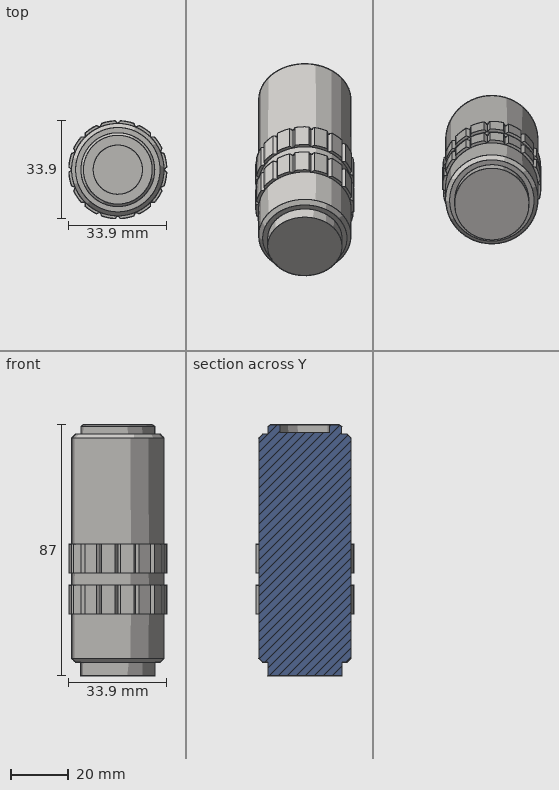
import cadquery as cq

total_height = 87.0
body_radius = 16.0
body_chamfer = 1.4

top_neck_radius = 12.8
bottom_neck_radius = 12.9
top_neck_height = 3.2
bottom_neck_height = 4.6
lip_chamfer_width = 0.9
lip_chamfer_height = 0.6

recess_radius = 8.5
recess_depth = 2.7

ring_diameter = 34.0
ring_radius = ring_diameter / 2
ring_height = 10.0
ring_bases = (21.4, 35.6)
groove_count = 16
groove_depth = ring_radius - body_radius


def make_body():
    """Chamfered main barrel between the two necks."""
    height = total_height - top_neck_height - bottom_neck_height
    barrel = (
        cq.Workplane("XY")
        .workplane(offset=bottom_neck_height)
        .circle(body_radius)
        .extrude(height)
    )
    return barrel.faces("<Z or >Z").chamfer(body_chamfer)


def make_top_neck():
    """Neck above the barrel with a bevelled lip."""
    base = total_height - top_neck_height
    neck = cq.Workplane("XY").workplane(offset=base).circle(top_neck_radius).extrude(top_neck_height)
    return neck.faces(">Z").edges().chamfer(lip_chamfer_height, lip_chamfer_width)


def make_bottom_neck():
    """Plain neck below the barrel."""
    return cq.Workplane("XY").circle(bottom_neck_radius).extrude(bottom_neck_height)


def make_grip_ring(base):
    """Ring cut by right-angled V grooves that reach down to the barrel."""
    ring = cq.Workplane("XY").workplane(offset=base).circle(ring_radius).extrude(ring_height)
    reach = 2 * groove_depth
    groove = (
        cq.Workplane("XY")
        .workplane(offset=base)
        .moveTo(body_radius, 0)
        .lineTo(body_radius + reach, reach)
        .lineTo(body_radius + reach, -reach)
        .close()
        .extrude(ring_height)
    )
    for index in range(groove_count):
        angle = index * 360 / groove_count
        ring = ring.cut(groove.rotate((0, 0, 0), (0, 0, 1), angle))
    return ring


def make_recess():
    """Cylinder removed from the top face."""
    floor = total_height - recess_depth
    return cq.Workplane("XY").workplane(offset=floor).circle(recess_radius).extrude(recess_depth)


result = make_body().union(make_top_neck()).union(make_bottom_neck())
for ring_base in ring_bases:
    result = result.union(make_grip_ring(ring_base))
result = result.cut(make_recess())